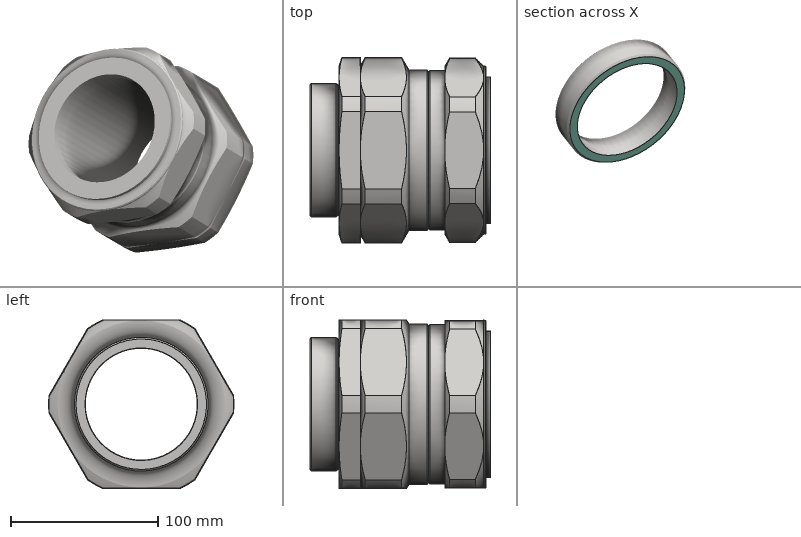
import cadquery as cq
import math

total_length = 122.6
bore_radius = 38.0

spigot_radius = 45.35
spigot_end_x = 18.9
spigot_chamfer = 1.1
undercut_radius = 44.1

hex_sides = 6
corner_ratio = 1.1
body_flat_radius = 114.3 / 2
body_corner_radius = body_flat_radius * corner_ratio
nut_flat_radius = 56.8
nut_corner_radius = nut_flat_radius * corner_ratio
hex_chamfer_slope = math.tan(math.radians(60))

flange_start_x = 19.7
flange_end_x = 34.2
flange_face_radius = 56.7
flange_chamfer_length = 2.0

body_rear_corner_x = 62.2
body_shoulder_radius = 55.3

front_barrel_radius = 54.6
front_barrel_end_x = 79.3
groove_bottom_x = 80.3
groove_bottom_radius = 53.0
rear_barrel_start_x = 81.6
rear_barrel_radius = 54.25

nut_start_x = 91.5
collar_start_x = 117.7
collar_chamfer_x = 118.8
collar_end_x = 119.6
collar_radius = 57.0
collar_end_radius = 56.3
end_ring_radius = 49.7


def revolve_profile(points):
    """Revolve an (axial, radial) outline about X, closing it along the axis."""
    first_x = points[0][0]
    last_x = points[-1][0]
    outline = [(first_x, 0), *points, (last_x, 0)]
    return cq.Workplane("XY").polyline(outline).close().revolve(360, (0, 0, 0), (1, 0, 0))


def hexagon_section(points, flat_radius):
    """Turned profile cut to a hexagonal section with flats facing +Z and -Z."""
    start_x = points[0][0]
    end_x = points[-1][0]
    corner_diameter = 2 * flat_radius / math.cos(math.pi / hex_sides)
    prism = (
        cq.Workplane("YZ", origin=(start_x, 0, 0))
        .polygon(hex_sides, corner_diameter)
        .extrude(end_x - start_x)
    )
    return prism.intersect(revolve_profile(points))


def make_core():
    """Spigot, undercut, barrels, groove and end ring as one turned core."""
    return revolve_profile([
        (0, spigot_radius - spigot_chamfer),
        (spigot_chamfer, spigot_radius),
        (spigot_end_x - spigot_chamfer, spigot_radius),
        (spigot_end_x, spigot_radius - spigot_chamfer),
        (spigot_end_x, undercut_radius),
        (flange_start_x, undercut_radius),
        (flange_start_x, front_barrel_radius),
        (front_barrel_end_x, front_barrel_radius),
        (groove_bottom_x, groove_bottom_radius),
        (rear_barrel_start_x, rear_barrel_radius),
        (nut_start_x, rear_barrel_radius),
        (collar_end_x, rear_barrel_radius),
        (collar_end_x, end_ring_radius),
        (total_length, end_ring_radius),
    ])


def make_flange():
    """Front hexagon with a steep chamfer on its front face only."""
    profile = [
        (flange_start_x, flange_face_radius),
        (flange_start_x + flange_chamfer_length, body_corner_radius),
        (flange_end_x, body_corner_radius),
    ]
    return hexagon_section(profile, body_flat_radius)


def make_body():
    """Middle hexagon, chamfered at both ends, with its rear shoulder."""
    front_chamfer = (body_corner_radius - body_flat_radius) / hex_chamfer_slope
    rear_chamfer = (body_corner_radius - body_shoulder_radius) / hex_chamfer_slope
    shoulder_x = body_rear_corner_x + rear_chamfer
    barrel_x = shoulder_x + body_shoulder_radius - front_barrel_radius
    profile = [
        (flange_end_x, body_flat_radius),
        (flange_end_x + front_chamfer, body_corner_radius),
        (body_rear_corner_x, body_corner_radius),
        (shoulder_x, body_shoulder_radius),
        (barrel_x, front_barrel_radius),
    ]
    return hexagon_section(profile, body_flat_radius)


def make_nut():
    """Rear hexagon: steep front chamfer, 45 degree rear chamfer."""
    front_chamfer = (nut_corner_radius - nut_flat_radius) / hex_chamfer_slope
    rear_chamfer = nut_corner_radius - collar_radius
    profile = [
        (nut_start_x, nut_flat_radius),
        (nut_start_x + front_chamfer, nut_corner_radius),
        (collar_start_x - rear_chamfer, nut_corner_radius),
        (collar_start_x, collar_radius),
    ]
    return hexagon_section(profile, nut_flat_radius)


def make_collar():
    """Round collar behind the nut, bevelled at its rear edge."""
    return revolve_profile([
        (collar_start_x, collar_radius),
        (collar_chamfer_x, collar_radius),
        (collar_end_x, collar_end_radius),
    ])


def make_bore():
    """Through bore along the whole part."""
    return cq.Workplane("YZ").circle(bore_radius).extrude(total_length)


result = (
    make_core()
    .union(make_flange())
    .union(make_body())
    .union(make_nut())
    .union(make_collar())
    .cut(make_bore())
)